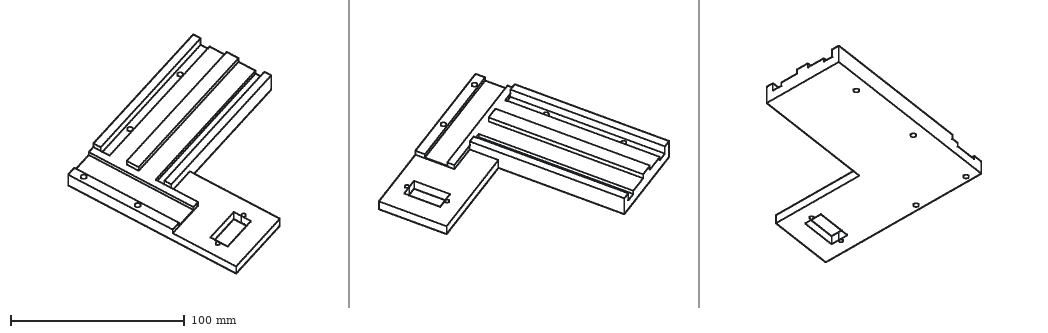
import cadquery as cq

plate_width = 118.2
plate_length = 127.0
flange_height = 6.4
flange_length = 44.5

deck_height = 9.5
rail_top = 12.7
deck_width = 54.9
foot_width = 73.7
foot_length = 25.7

left_rail_width = 5.2
right_rail_width = 4.8
center_rail_start = 23.5
center_rail_width = 8.4
groove_width = 6.2
groove_depth = 2.5

channel_start = 6.4
channel_end = 21.0
channel_depth = 2.5

mount_hole_diameter = 3.3
mount_hole_centers = [(8.4, 3.8), (46.4, 3.8), (8.4, 50.8), (8.4, 101.6)]

window_width = 12.1
window_length = 23.6
window_x = 99.5
window_y = 21.6
screw_spacing = 26.3
screw_hole_diameter = 2.5


def block(x_start, x_end, y_start, y_end, z_start, z_end):
    """Axis-aligned box between pairs of limits."""
    size = (x_end - x_start, y_end - y_start, z_end - z_start)
    return cq.Workplane("XY").box(*size, centered=False).translate((x_start, y_start, z_start))


def through_holes(centers, diameter):
    """Vertical cutters through the full height of the part."""
    return cq.Workplane("XY").pushPoints(centers).circle(diameter / 2).extrude(rail_top)


flange = block(0, plate_width, 0, flange_length, 0, flange_height)
deck = block(0, deck_width, 0, plate_length, 0, deck_height)
foot = block(0, foot_width, 0, foot_length, 0, deck_height)
result = flange.union(deck).union(foot)

right_rail_start = deck_width - right_rail_width
rails = [
    (0, left_rail_width),
    (center_rail_start, center_rail_start + center_rail_width),
    (right_rail_start, deck_width),
]
for x_start, x_end in rails:
    result = result.union(block(x_start, x_end, foot_length, plate_length, deck_height, rail_top))

grooves = [
    (left_rail_width, left_rail_width + groove_width),
    (right_rail_start - groove_width, right_rail_start),
]
groove_floor = deck_height - groove_depth
for x_start, x_end in grooves:
    result = result.cut(block(x_start, x_end, foot_length, plate_length, groove_floor, deck_height))

channel_floor = deck_height - channel_depth
result = result.cut(block(0, foot_width, channel_start, channel_end, channel_floor, deck_height))

result = result.cut(through_holes(mount_hole_centers, mount_hole_diameter))

window = (
    cq.Workplane("XY")
    .center(window_x, window_y)
    .rect(window_width, window_length)
    .extrude(flange_height)
)
screw_centers = [(window_x, window_y + side * screw_spacing / 2) for side in (-1, 1)]
result = result.cut(window).cut(through_holes(screw_centers, screw_hole_diameter))